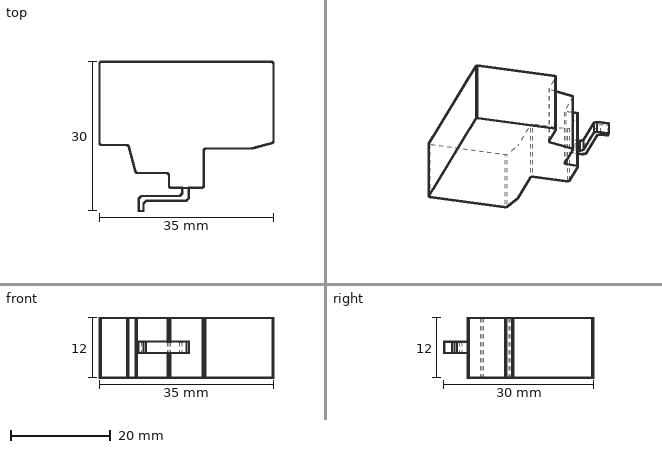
import cadquery as cq

width = 35.0
height = 12.0
left_depth = 16.75
slope_top_x = 5.8
slope_bottom_x = 7.3
step_depth = 22.4
nose_left_x = 13.95
nose_right_x = 21.0
nose_depth = 25.38
right_depth = 17.45
bevel_start_x = 30.65
bevel_end_depth = 16.3
corner_cut = 0.3
oblique_cut = 0.25

total_depth = 30.03
tip_x = 7.9
tip_thickness = 0.98
root_left_x = 16.65
root_right_x = 18.0
arm_back_depth = 27.0
arm_front_depth = 27.95
clip_bottom_z = 4.97
clip_height = 2.28
bend_cut = 0.52


def extruded_outline(points, bottom_z, thickness):
    """Extrude a closed outline of (x, depth) points upward from bottom_z."""
    outline = [(x, -depth) for x, depth in points]
    return cq.Workplane("XY").workplane(offset=bottom_z).polyline(outline).close().extrude(thickness)


def chamfer_corners(body, corners, cut):
    """Chamfer the vertical housing edges at the given (x, depth) corners."""
    for x, depth in corners:
        edge = cq.selectors.BoxSelector((x - cut, -depth - cut, 0), (x + cut, -depth + cut, height))
        body = body.edges("|Z").edges(edge).chamfer(cut)
    return body


def make_housing():
    back_corners = [(width, 0), (0, 0), (0, left_depth)]
    slope_corners = [(slope_top_x, left_depth), (slope_bottom_x, step_depth)]
    nose_corners = [
        (nose_left_x, step_depth),
        (nose_left_x, nose_depth),
        (nose_right_x, nose_depth),
        (nose_right_x, right_depth),
    ]
    bevel_start = (bevel_start_x, right_depth)
    bevel_end = (width, bevel_end_depth)
    outline = back_corners + slope_corners + nose_corners + [bevel_start, bevel_end]
    body = extruded_outline(outline, 0, height)
    body = chamfer_corners(body, back_corners + nose_corners, corner_cut)
    return chamfer_corners(body, slope_corners + [bevel_end], oblique_cut)


def make_clip():
    tip_right_x = tip_x + tip_thickness
    corners = [
        (root_left_x, nose_depth),
        (root_left_x, arm_back_depth),
        (tip_x, arm_back_depth),
        (tip_x, total_depth),
        (tip_right_x, total_depth),
        (tip_right_x, arm_front_depth),
        (root_right_x, arm_front_depth),
        (root_right_x, nose_depth),
    ]
    body = extruded_outline(corners, clip_bottom_z, clip_height)
    bend_zone = cq.selectors.BoxSelector(
        (tip_x - bend_cut, -arm_front_depth - bend_cut, clip_bottom_z),
        (root_right_x + bend_cut, -arm_back_depth + bend_cut, clip_bottom_z + clip_height),
    )
    return body.edges("|Z").edges(bend_zone).chamfer(bend_cut)


housing = make_housing()
clip = make_clip()
result = cq.Compound.makeCompound([housing.val(), clip.val()])